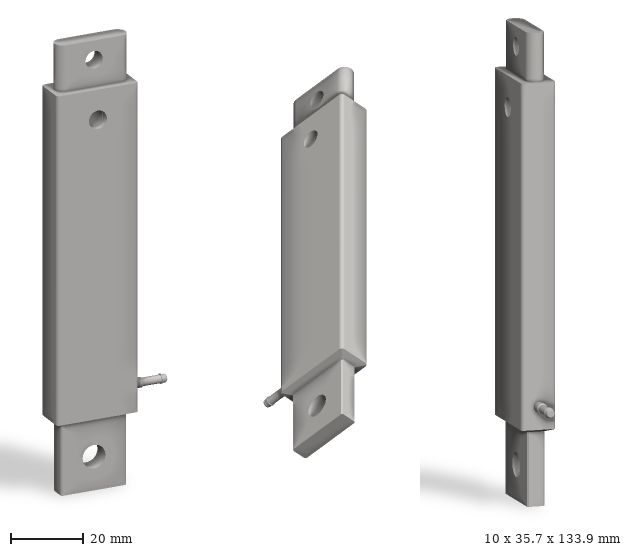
import cadquery as cq

TOTAL_LENGTH = 133.9

SLIDER_X = 5.2
SLIDER_Y = 22.0
SLIDER_EXPOSED = 13.8
SLIDER_HOLE_DIAMETER = 5.2
UPPER_HOLE_FROM_TOP = 5.8
LOWER_HOLE_FROM_TOP = 22.8
SLIDER_LENGTH = LOWER_HOLE_FROM_TOP + UPPER_HOLE_FROM_TOP
UPPER_HOLE_Z = TOTAL_LENGTH - UPPER_HOLE_FROM_TOP
LOWER_HOLE_Z = TOTAL_LENGTH - LOWER_HOLE_FROM_TOP

HOUSING_X = 10.0
HOUSING_Y = 25.0
HOUSING_CORNER_RADIUS = 1.1
HOUSING_TOP_Z = TOTAL_LENGTH - SLIDER_EXPOSED
HOUSING_HOLE_DIAMETER = 5.5

TAB_X = 5.1
TAB_Y = 20.1
TAB_LENGTH = 21.2
TAB_CORNER_CHAMFER = 0.4
TAB_HOLE_DIAMETER = 7.0
TAB_HOLE_Z = 10.0
SHOULDER_HEIGHT = 1.0
SHOULDER_TOP_Z = TAB_LENGTH + SHOULDER_HEIGHT

FITTING_Z = 28.7
FITTING_LENGTH = 10.7
BASE_RADIUS = 3.0 / 2
BASE_LENGTH = 3.3
STEM_RADIUS = 2.4 / 2
BASE_CHAMFER = BASE_RADIUS - STEM_RADIUS
BARB_RADIUS = 3.0 / 2
TIP_RADIUS = 2.0 / 2
TIP_TAPER = 0.4
BARB_BACK = FITTING_LENGTH - 1.7
BARB_SLOPE_END = FITTING_LENGTH - 0.8


def upright_block(size_x, size_y, bottom, top):
    """Centred rectangular block between two heights."""
    return cq.Workplane("XY", origin=(0, 0, bottom)).rect(size_x, size_y).extrude(top - bottom)


def cross_hole(diameter, z):
    """Cylinder along X, long enough to pass through the whole part."""
    return cq.Workplane("YZ", origin=(0, 0, z)).circle(diameter / 2).extrude(HOUSING_X, both=True)


def slider_bar():
    """Full-round bar in its place, before drilling; also the shape of its pocket."""
    bottom = TOTAL_LENGTH - SLIDER_LENGTH
    return cq.Workplane("XY", origin=(0, 0, bottom)).slot2D(SLIDER_Y, SLIDER_X, 90).extrude(SLIDER_LENGTH)


def make_slider():
    """Bar with its two cross holes."""
    bar = slider_bar()
    for z in (UPPER_HOLE_Z, LOWER_HOLE_Z):
        bar = bar.cut(cross_hole(SLIDER_HOLE_DIAMETER, z))
    return bar.solids()


def housing_box():
    """Round-cornered box whose lower end slopes in to the tab section."""
    box = upright_block(HOUSING_X, HOUSING_Y, TAB_LENGTH, HOUSING_TOP_Z)
    box = box.edges("|Z").fillet(HOUSING_CORNER_RADIUS)
    shoulder = (
        cq.Workplane("XY", origin=(0, 0, TAB_LENGTH))
        .rect(TAB_X, TAB_Y)
        .workplane(offset=SHOULDER_HEIGHT)
        .rect(HOUSING_X, HOUSING_Y)
        .loft(ruled=True)
    )
    envelope = shoulder.union(upright_block(HOUSING_X, HOUSING_Y, SHOULDER_TOP_Z, HOUSING_TOP_Z))
    return box.intersect(envelope)


def mounting_tab():
    """Lower tab with chamfered upright edges, running up into the shoulder."""
    tab = upright_block(TAB_X, TAB_Y, 0, SHOULDER_TOP_Z)
    return tab.edges("|Z").chamfer(TAB_CORNER_CHAMFER)


def hose_fitting():
    """Turned fitting: half profile of radius and length, revolved about its axis."""
    profile = [
        (0, 0),
        (BASE_RADIUS, 0),
        (BASE_RADIUS, BASE_LENGTH - BASE_CHAMFER),
        (STEM_RADIUS, BASE_LENGTH),
        (STEM_RADIUS, BARB_BACK),
        (BARB_RADIUS, BARB_BACK),
        (STEM_RADIUS, BARB_SLOPE_END),
        (STEM_RADIUS, FITTING_LENGTH - TIP_TAPER),
        (TIP_RADIUS, FITTING_LENGTH),
        (0, FITTING_LENGTH),
    ]
    return (
        cq.Workplane("XY", origin=(0, HOUSING_Y / 2, FITTING_Z))
        .polyline(profile)
        .close()
        .revolve(360, (0, 0), (0, 1))
    )


def make_housing():
    """Box, tab and fitting in one body, with the slider pocket and cross holes cut."""
    body = housing_box().union(mounting_tab()).union(hose_fitting())
    body = body.cut(slider_bar())
    body = body.cut(cross_hole(HOUSING_HOLE_DIAMETER, LOWER_HOLE_Z))
    return body.cut(cross_hole(TAB_HOLE_DIAMETER, TAB_HOLE_Z)).solids()


housing = make_housing()
slider = make_slider()
result = cq.Compound.makeCompound([housing.val(), slider.val()])